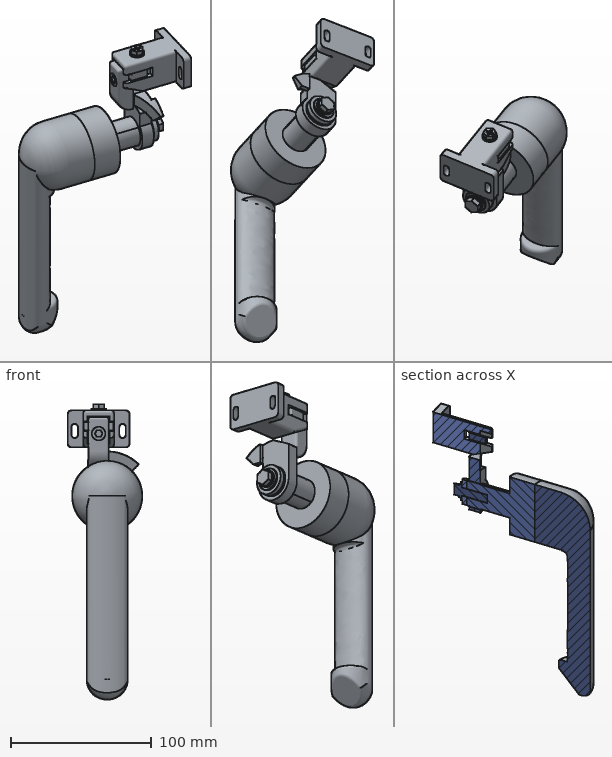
import cadquery as cq
import math


BRACKET_X = -6.0
BRACKET_TOP = 61.0
BRACKET_BOTTOM = 34.5
FLANGE_REAR = 61.8
FLANGE_WIDTH = 44.1
FLANGE_THICKNESS = 6.3
FLANGE_CORNER = 3.0
MOUNT_SLOT_OFFSET = 17.0
MOUNT_SLOT_Z = 46.2
MOUNT_SLOT_LENGTH = 9.9
MOUNT_SLOT_WIDTH = 4.5
ARM_WIDTH = 21.9
ARM_FRONT = 14.5
ARM_EDGE = 2.0
ARM_SLOPE_REAR = 29.5
ARM_SLOPE_TOP = 41.4

STRIKER_WIDTH = 14.7
STRIKER_FRONT = 10.7
STRIKER_REAR = 23.5
STRIKER_TOP = 56.0
STRIKER_BOTTOM = 19.1
STRIKER_NOSE_RADIUS = 12.2
STRIKER_EDGE = 1.9
STRIKER_GAP = 0.6

RAIL_SLOT_REAR = 36.5
RAIL_SLOT_TOP = 53.2
RAIL_SLOT_BOTTOM = 46.0
RAIL_FRONT = 19.3
RAIL_REAR = 32.8
RAIL_TOP = 52.5
RAIL_BOTTOM = 46.6
RAIL_INSET = 0.5
RAIL_EDGE = 0.6

TOP_SCREW_Y = 29.6
TOP_SCREW_ACROSS_CORNERS = 9.2
TOP_SCREW_HEAD_TOP = 65.3
TOP_SCREW_FLANGE_RADIUS = 5.3
TOP_SCREW_FLANGE_THICKNESS = 1.0
TOP_SCREW_SHANK_RADIUS = 2.5
CROSS_LENGTH = 5.0
CROSS_WIDTH = 1.3
CROSS_DEPTH = 1.7

FRONT_SCREW_Z = 44.3
FRONT_SCREW_HEAD_RADIUS = 4.8
FRONT_SCREW_HEAD_DEPTH = 4.2
FRONT_SCREW_SHANK_RADIUS = 2.5
SOCKET_ACROSS_CORNERS = 5.5
SOCKET_DEPTH = 2.5

CAM_RADIUS = 13.9
CAM_FRONT = 23.5
CAM_REAR = 32.8
CAM_SHOULDER_Z = 25.5
HOOK_OUTER_RADIUS = 31.7
HOOK_INNER_RADIUS = 23.0
HOOK_END_ANGLE = 45.0
NECK_RIGHT = 9.9
HOOK_PAD_REAR = 36.0
HOOK_RAMP_START_X = 1.3
HOOK_TIP_FRONT = 33.6

SPINDLE_RADIUS = 11.0
SPINDLE_RELIEF = 0.2
SPINDLE_RELIEF_ANGLE = 45.0
SPINDLE_REAR = 34.5
WASHER_REAR = 38.2
BOLT_COLLAR_RADIUS = 8.0
BOLT_COLLAR_REAR = 39.5
BOLT_NECK_RADIUS = 6.0
BOLT_NECK_REAR = 41.0
BOLT_HEAD_REAR = 45.0
BOLT_ACROSS_CORNERS = 11.8
BOLT_SHANK_RADIUS = 4.2
BOLT_SHANK_LENGTH = 16.8

BODY_RADIUS = 25.0
COLLAR_LENGTH = 20.5
DOME_START = -41.5
DOME_DEPTH = 23.5

GRIP_HALF_WIDTH = 14.7
GRIP_TIP_Z = -144.8
GRIP_RIDGE_HALF_WIDTH = 0.8
CROWN_EDGE_X = 12.0
CROWN_EDGE_Y = -62.5
CROWN_BOW = 0.8
GRIP_SIDE_FRONT = -57.5
GRIP_SIDE_REAR = -55.0
GRIP_BACK = -46.2
ROOT_FILLET = 4.2
ROOT_FILLET_STEPS = 4
ROOT_HALF_WIDTH = 13.9
ROOT_FRONT = -56.7
ROOT_FILLET_TOP_Z = -19.0
TIP_FLAT_RADIUS = 9.9
HOOK_BACK = -39.0
HOOK_TOP_Z = -119.0
HOOK_EDGE = 2.7
HOOK_BEVEL_TOP_Z = -126.3
HOOK_BEVEL_BOTTOM_Y = -56.0
HOOK_BEVEL_EDGE = 2.0

ARM_REAR = FLANGE_REAR - FLANGE_THICKNESS
GRIP_FACE = DOME_START - DOME_DEPTH
TIP_CENTER_Z = GRIP_TIP_Z + GRIP_HALF_WIDTH


def box(x_range, y_range, z_range):
    """Box spanning three (low, high) ranges."""
    size = [high - low for low, high in (x_range, y_range, z_range)]
    corner = (x_range[0], y_range[0], z_range[0])
    return cq.Workplane("XY").box(*size, centered=False).translate(corner)


def centered_range(middle, width):
    return (middle - width / 2, middle + width / 2)


def toward_rear(y, x=0, z=0):
    """Sketch plane facing -Y at depth y; extrude a negative distance to go rearward."""
    return cq.Workplane("XZ", origin=(x, y, z))


def disc(radius, front, rear, x=0, z=0):
    """Cylinder along Y between two depths."""
    return toward_rear(front, x, z).circle(radius).extrude(front - rear)


def side_prism(outline, middle, width):
    """YZ outline extruded symmetrically about X = middle."""
    return cq.Workplane("YZ", origin=(middle, 0, 0)).polyline(outline).close().extrude(width / 2, both=True)


def on_circle(radius, degrees):
    angle = math.radians(degrees)
    return (radius * math.cos(angle), radius * math.sin(angle))


def make_top_screw():
    def level(z):
        return cq.Workplane("XY", origin=(BRACKET_X, TOP_SCREW_Y, z))

    flange = level(BRACKET_TOP).circle(TOP_SCREW_FLANGE_RADIUS).extrude(TOP_SCREW_FLANGE_THICKNESS)
    head = level(BRACKET_TOP).transformed(rotate=(0, 0, 90)).polygon(6, TOP_SCREW_ACROSS_CORNERS)
    screw = flange.union(head.extrude(TOP_SCREW_HEAD_TOP - BRACKET_TOP))
    screw = screw.union(level(RAIL_TOP).circle(TOP_SCREW_SHANK_RADIUS).extrude(BRACKET_TOP - RAIL_TOP))
    for turn in (0, 90):
        slot = level(TOP_SCREW_HEAD_TOP).transformed(rotate=(0, 0, turn)).rect(CROSS_LENGTH, CROSS_WIDTH)
        screw = screw.cut(slot.extrude(-CROSS_DEPTH))
    return screw


def make_front_screw_blank():
    head_rear = STRIKER_FRONT + FRONT_SCREW_HEAD_DEPTH
    head = disc(FRONT_SCREW_HEAD_RADIUS, STRIKER_FRONT, head_rear, BRACKET_X, FRONT_SCREW_Z)
    shank = disc(FRONT_SCREW_SHANK_RADIUS, head_rear, STRIKER_REAR, BRACKET_X, FRONT_SCREW_Z)
    return head.union(shank)


def make_front_screw():
    face = toward_rear(STRIKER_FRONT, BRACKET_X, FRONT_SCREW_Z)
    socket = face.polygon(6, SOCKET_ACROSS_CORNERS).extrude(-SOCKET_DEPTH)
    return make_front_screw_blank().cut(socket)


def make_rail():
    rail = box(
        centered_range(BRACKET_X, ARM_WIDTH - 2 * RAIL_INSET),
        (RAIL_FRONT, RAIL_REAR),
        (RAIL_BOTTOM, RAIL_TOP),
    )
    return rail.faces("<X or >X").edges().fillet(RAIL_EDGE)


def make_flange():
    flange = box(
        centered_range(BRACKET_X, FLANGE_WIDTH),
        (ARM_REAR, FLANGE_REAR),
        (BRACKET_BOTTOM, BRACKET_TOP),
    )
    flange = flange.edges("|Y").fillet(FLANGE_CORNER)
    mount_slots = (
        toward_rear(ARM_REAR, BRACKET_X, MOUNT_SLOT_Z)
        .pushPoints([(-MOUNT_SLOT_OFFSET, 0), (MOUNT_SLOT_OFFSET, 0)])
        .slot2D(MOUNT_SLOT_LENGTH, MOUNT_SLOT_WIDTH, 90)
        .extrude(-FLANGE_THICKNESS)
    )
    return flange.cut(mount_slots)


def make_arm():
    outline = [
        (FLANGE_REAR, BRACKET_TOP),
        (ARM_FRONT, BRACKET_TOP),
        (ARM_FRONT, ARM_SLOPE_TOP),
        (ARM_SLOPE_REAR, BRACKET_BOTTOM),
        (FLANGE_REAR, BRACKET_BOTTOM),
    ]
    arm = side_prism(outline, BRACKET_X, ARM_WIDTH)
    side_edges = arm.faces("<X or >X").edges("not >Y")
    front_top_edge = arm.faces("<Y").edges(">Z")
    return side_edges.add(front_top_edge).fillet(ARM_EDGE)


def make_bracket(top_screw):
    striker_slot = box(
        centered_range(BRACKET_X, STRIKER_WIDTH + 2 * STRIKER_GAP),
        (ARM_FRONT, STRIKER_REAR),
        (BRACKET_BOTTOM, STRIKER_TOP + STRIKER_GAP),
    )
    rail_slot = box(
        centered_range(BRACKET_X, ARM_WIDTH),
        (ARM_FRONT, RAIL_SLOT_REAR),
        (RAIL_SLOT_BOTTOM, RAIL_SLOT_TOP),
    )
    core = box(
        centered_range(BRACKET_X, STRIKER_WIDTH),
        (ARM_FRONT, RAIL_SLOT_REAR),
        (RAIL_SLOT_BOTTOM, RAIL_SLOT_TOP),
    )
    blank = make_flange().union(make_arm())
    return blank.cut(rail_slot.cut(core)).cut(striker_slot).cut(make_rail()).cut(top_screw)


def make_striker():
    nose_y = STRIKER_FRONT + STRIKER_NOSE_RADIUS
    nose_z = STRIKER_BOTTOM + STRIKER_NOSE_RADIUS
    mid_y, mid_z = on_circle(STRIKER_NOSE_RADIUS, 225)
    bar = (
        cq.Workplane("YZ", origin=(BRACKET_X, 0, 0))
        .moveTo(STRIKER_REAR, STRIKER_TOP)
        .lineTo(STRIKER_FRONT, STRIKER_TOP)
        .lineTo(STRIKER_FRONT, nose_z)
        .threePointArc((nose_y + mid_y, nose_z + mid_z), (nose_y, STRIKER_BOTTOM))
        .lineTo(STRIKER_REAR, STRIKER_BOTTOM)
        .close()
        .extrude(STRIKER_WIDTH / 2, both=True)
    )
    side_edges = bar.faces("<X or >X").edges()
    bar = side_edges.add(bar.faces("<Y").edges(">Z")).fillet(STRIKER_EDGE)
    return bar.union(make_rail()).cut(make_front_screw_blank())


def make_bolt():
    hexagon = toward_rear(BOLT_NECK_REAR).transformed(rotate=(0, 0, 90)).polygon(6, BOLT_ACROSS_CORNERS)
    head = hexagon.extrude(BOLT_NECK_REAR - BOLT_HEAD_REAR)
    neck = disc(BOLT_NECK_RADIUS, BOLT_COLLAR_REAR, BOLT_NECK_REAR)
    collar = disc(BOLT_COLLAR_RADIUS, WASHER_REAR, BOLT_COLLAR_REAR)
    shank = disc(BOLT_SHANK_RADIUS, SPINDLE_REAR - BOLT_SHANK_LENGTH, WASHER_REAR)
    return head.union(neck).union(collar).union(shank)


def make_washer(bolt):
    return disc(SPINDLE_RADIUS, SPINDLE_REAR, WASHER_REAR).cut(bolt)


def make_spindle(bolt):
    collar = disc(BODY_RADIUS, -COLLAR_LENGTH, 0)
    spindle = disc(SPINDLE_RADIUS, 0, SPINDLE_REAR)
    lower_half = box(
        (-SPINDLE_RADIUS, SPINDLE_RADIUS),
        (0, CAM_FRONT),
        (-SPINDLE_RADIUS, 0),
    )
    lower_half = lower_half.rotate((0, 0, 0), (0, 1, 0), -SPINDLE_RELIEF_ANGLE)
    kept_core = disc(SPINDLE_RADIUS - SPINDLE_RELIEF, 0, CAM_FRONT)
    relief = disc(SPINDLE_RADIUS, 0, CAM_FRONT).cut(kept_core).intersect(lower_half)
    return spindle.cut(relief).union(collar).cut(bolt)


def make_hook():
    """Ring sector about the spindle from straight up round to the tip."""
    mid_angle = (90 + HOOK_END_ANGLE) / 2
    return (
        toward_rear(CAM_FRONT)
        .moveTo(0, HOOK_OUTER_RADIUS)
        .threePointArc(
            on_circle(HOOK_OUTER_RADIUS, mid_angle), on_circle(HOOK_OUTER_RADIUS, HOOK_END_ANGLE)
        )
        .lineTo(*on_circle(HOOK_INNER_RADIUS, HOOK_END_ANGLE))
        .threePointArc(on_circle(HOOK_INNER_RADIUS, mid_angle), (0, HOOK_INNER_RADIUS))
        .close()
        .extrude(CAM_FRONT - CAM_REAR)
    )


def make_hook_pad():
    """Raised pad on the rear of the hook, starting in line with the neck's right side."""
    left_angle = math.degrees(math.acos(NECK_RIGHT / HOOK_OUTER_RADIUS))
    mid_angle = (left_angle + HOOK_END_ANGLE) / 2
    tip_corner = on_circle(HOOK_INNER_RADIUS, HOOK_END_ANGLE)
    return (
        toward_rear(CAM_REAR)
        .moveTo(*on_circle(HOOK_OUTER_RADIUS, left_angle))
        .threePointArc(
            on_circle(HOOK_OUTER_RADIUS, mid_angle), on_circle(HOOK_OUTER_RADIUS, HOOK_END_ANGLE)
        )
        .lineTo(*tip_corner)
        .lineTo(NECK_RIGHT, tip_corner[1])
        .close()
        .extrude(CAM_REAR - HOOK_PAD_REAR)
    )


def make_hook_ramp():
    """Wedge of space in front of the hook, which thins toward its tip."""
    tip_x = on_circle(HOOK_OUTER_RADIUS, HOOK_END_ANGLE)[0]
    ramp = (
        cq.Workplane("XY")
        .polyline([(HOOK_RAMP_START_X, CAM_FRONT), (tip_x, CAM_FRONT), (tip_x, HOOK_TIP_FRONT)])
        .close()
        .extrude(HOOK_OUTER_RADIUS)
    )
    return ramp.cut(disc(HOOK_INNER_RADIUS, CAM_FRONT, HOOK_PAD_REAR))


def make_cam():
    neck_top = math.sqrt(HOOK_INNER_RADIUS**2 - NECK_RIGHT**2)
    neck_bottom = math.sqrt(CAM_RADIUS**2 - NECK_RIGHT**2)
    neck_mid_angle = (90 + math.degrees(math.atan2(neck_top, NECK_RIGHT))) / 2
    lever = (
        toward_rear(CAM_FRONT)
        .moveTo(-CAM_RADIUS, 0)
        .lineTo(-CAM_RADIUS, CAM_SHOULDER_Z)
        .lineTo(0, HOOK_OUTER_RADIUS)
        .lineTo(0, HOOK_INNER_RADIUS)
        .threePointArc(on_circle(HOOK_INNER_RADIUS, neck_mid_angle), (NECK_RIGHT, neck_top))
        .lineTo(NECK_RIGHT, neck_bottom)
        .threePointArc((0, -CAM_RADIUS), (-CAM_RADIUS, 0))
        .close()
        .extrude(CAM_FRONT - CAM_REAR)
    )
    bore = disc(SPINDLE_RADIUS, CAM_FRONT, CAM_REAR)
    return lever.union(make_hook()).union(make_hook_pad()).cut(make_hook_ramp()).cut(bore)


def make_hub():
    return (
        cq.Workplane("XY")
        .moveTo(0, -COLLAR_LENGTH)
        .lineTo(BODY_RADIUS, -COLLAR_LENGTH)
        .lineTo(BODY_RADIUS, DOME_START)
        .ellipseArc(BODY_RADIUS, DOME_DEPTH, 270, 360, sense=-1)
        .close()
        .revolve(360, (0, 0, 0), (0, 1, 0))
    )


def half_crown(plane):
    """Right half of the grip's crowned front section."""
    edge_drop = CROWN_EDGE_Y - GRIP_FACE
    crown_mid = (CROWN_EDGE_X / 2, GRIP_FACE + edge_drop / 2 - CROWN_BOW)
    return (
        plane.moveTo(0, GRIP_SIDE_REAR)
        .lineTo(GRIP_HALF_WIDTH, GRIP_SIDE_REAR)
        .lineTo(GRIP_HALF_WIDTH, GRIP_SIDE_FRONT)
        .tangentArcPoint((CROWN_EDGE_X, CROWN_EDGE_Y), relative=False)
        .threePointArc(crown_mid, (GRIP_RIDGE_HALF_WIDTH, GRIP_FACE))
        .lineTo(0, GRIP_FACE)
        .close()
    )


def back_round(back, top_z, bottom_z):
    """Half-elliptic back of the grip, reaching to Y = back."""
    return (
        cq.Workplane("XY", origin=(0, GRIP_SIDE_REAR, top_z))
        .moveTo(GRIP_HALF_WIDTH, 0)
        .ellipseArc(GRIP_HALF_WIDTH, back - GRIP_SIDE_REAR, 0, 180, sense=1)
        .close()
        .extrude(bottom_z - top_z)
    )


def make_root_fillet():
    """Hollow-curved blend between the hub's underside and the grip's back, fading out at its sides."""

    def section(plane, drop):
        bulge = ROOT_FILLET - math.sqrt(ROOT_FILLET**2 - (ROOT_FILLET - drop) ** 2)
        return plane.ellipse(ROOT_HALF_WIDTH, GRIP_BACK + bulge - GRIP_SIDE_REAR)

    hub_underside = cq.Workplane("XY", origin=(0, GRIP_SIDE_REAR, -BODY_RADIUS))
    inside_hub = section(hub_underside, 0).extrude(ROOT_FILLET_TOP_Z + BODY_RADIUS)
    step_height = ROOT_FILLET / ROOT_FILLET_STEPS
    blend = section(hub_underside, 0)
    for step in range(1, ROOT_FILLET_STEPS + 1):
        blend = section(blend.workplane(offset=-step_height), step * step_height)
    behind_crown = box(
        (-GRIP_HALF_WIDTH, GRIP_HALF_WIDTH),
        (ROOT_FRONT, 0),
        (GRIP_TIP_Z, 0),
    )
    return blend.loft().union(inside_hub).intersect(behind_crown)


def make_finger_hook():
    return back_round(HOOK_BACK, HOOK_TOP_Z, GRIP_TIP_Z).faces(">Z").edges(">Y").fillet(HOOK_EDGE)


def make_tip_envelope():
    """Space that gives the grip its semicircular lower end with a rounded front rim."""
    straight = box(
        (-BODY_RADIUS, BODY_RADIUS),
        (GRIP_FACE - BODY_RADIUS, BODY_RADIUS),
        (TIP_CENTER_Z, BODY_RADIUS),
    )
    round_end = (
        cq.Workplane("XY", origin=(0, 0, TIP_CENTER_Z))
        .moveTo(0, HOOK_BACK)
        .lineTo(GRIP_HALF_WIDTH, HOOK_BACK)
        .lineTo(GRIP_HALF_WIDTH, GRIP_SIDE_FRONT)
        .tangentArcPoint((TIP_FLAT_RADIUS, GRIP_FACE), relative=False)
        .lineTo(0, GRIP_FACE)
        .close()
        .revolve(360, (0, 0, 0), (0, 1, 0))
    )
    return straight.union(round_end)


def make_hook_bevel():
    """Space behind the slope that runs from the hook down to the tip."""
    outline = [
        (HOOK_BACK, HOOK_BEVEL_TOP_Z),
        (HOOK_BEVEL_BOTTOM_Y, GRIP_TIP_Z),
        (HOOK_BACK, GRIP_TIP_Z),
    ]
    return side_prism(outline, 0, 2 * GRIP_HALF_WIDTH)


def make_handle():
    half_bar = half_crown(cq.Workplane("XY")).extrude(GRIP_TIP_Z)
    back = back_round(GRIP_BACK, 0, GRIP_TIP_Z)
    bar = half_bar.union(half_bar.mirror("YZ")).union(back).union(make_finger_hook())
    grip = bar.intersect(make_tip_envelope()).cut(make_hook_bevel())
    bevel_direction = cq.Vector(0, HOOK_BEVEL_TOP_Z - GRIP_TIP_Z, HOOK_BEVEL_BOTTOM_Y - HOOK_BACK)
    grip = grip.faces(cq.selectors.ParallelDirSelector(bevel_direction)).edges().fillet(HOOK_BEVEL_EDGE)
    return make_hub().union(grip).union(make_root_fillet())


top_screw = make_top_screw()
front_screw = make_front_screw()
bracket = make_bracket(top_screw)
striker = make_striker()
bolt = make_bolt()
washer = make_washer(bolt)
spindle = make_spindle(bolt)
cam = make_cam()
handle = make_handle()

bodies = [bracket, top_screw, striker, front_screw, cam, bolt, washer, spindle, handle]
result = cq.Compound.makeCompound([body.solids().val() for body in bodies])